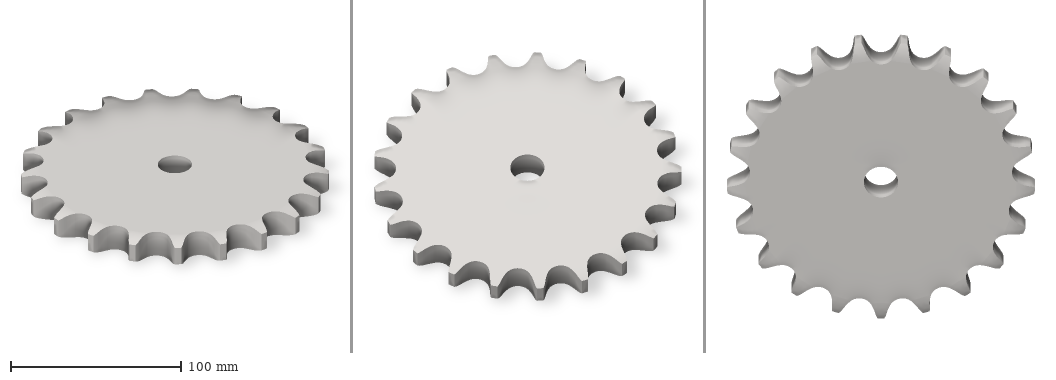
import cadquery as cq
import math

tooth_count = 21
overall_width = 181.0
pitch_diameter = 170.5
roller_diameter = 16.0
thickness = 16.3
bore_diameter = 20.0

tip_half_angle = 1.25

relief_diameter = 158.9
relief_depth = 2.5

half_thickness = thickness / 2
relief_radius = relief_diameter / 2
tooth_angle = 360 / tooth_count

outer_radius = overall_width / 2 / math.cos(math.radians(tooth_angle / 4 - tip_half_angle))

SEAT_RATIO = 1.005
WORKING_CENTER_RATIO = 0.8
TOPPING_CENTER_RATIO = 1.4
seat_clearance = 0.07
seat_radius = (SEAT_RATIO * roller_diameter + seat_clearance) / 2
working_center_distance = WORKING_CENTER_RATIO * roller_diameter
topping_center_distance = TOPPING_CENTER_RATIO * roller_diameter
working_radius = working_center_distance + seat_radius
seat_end_angle = 35 + 60 / tooth_count
working_sweep = 18 - 56 / tooth_count
flank_angle = seat_end_angle - working_sweep

cut_overrun = 0.9


def step(point, distance, angle):
    """Point at a distance from another, along an angle in degrees from the first axis."""
    turn = math.radians(angle)
    return point[0] + distance * math.cos(turn), point[1] + distance * math.sin(turn)


def mirrored(point):
    return -point[0], point[1]


def topping_end_direction(center, radius):
    """Angle about the topping centre at which the topping curve passes out of the wheel."""
    end_radius = outer_radius + cut_overrun
    distance = math.hypot(*center)
    to_axis = math.degrees(math.atan2(center[1], center[0])) + 180
    cosine = (distance**2 + radius**2 - end_radius**2) / (2 * distance * radius)
    return to_axis - math.degrees(math.acos(cosine))


def tooth_gap():
    """Gap centred on +Y: a round seat, then a working curve, a flat and a topping curve on each side."""
    roller_center = (0, pitch_diameter / 2)
    seat_bottom = step(roller_center, seat_radius, -90)
    seat_end = step(roller_center, seat_radius, -seat_end_angle)

    working_center = step(roller_center, working_center_distance, 180 - seat_end_angle)
    working_middle = step(working_center, working_radius, working_sweep / 2 - seat_end_angle)
    working_end = step(working_center, working_radius, -flank_angle)

    topping_center = step(roller_center, topping_center_distance, -tooth_angle / 2)
    normal = step((0, 0), 1, -flank_angle)
    topping_radius = sum((topping_center[axis] - working_end[axis]) * normal[axis] for axis in range(2))
    topping_start_angle = 180 - flank_angle
    topping_end_angle = topping_end_direction(topping_center, topping_radius)
    flat_end = step(topping_center, topping_radius, topping_start_angle)
    topping_middle = step(topping_center, topping_radius, (topping_start_angle + topping_end_angle) / 2)
    topping_end = step(topping_center, topping_radius, topping_end_angle)

    return (
        cq.Workplane("XY", origin=(0, 0, -half_thickness))
        .moveTo(*topping_end)
        .threePointArc(topping_middle, flat_end)
        .lineTo(*working_end)
        .threePointArc(working_middle, seat_end)
        .threePointArc(seat_bottom, mirrored(seat_end))
        .threePointArc(mirrored(working_middle), mirrored(working_end))
        .lineTo(*mirrored(flat_end))
        .threePointArc(mirrored(topping_middle), mirrored(topping_end))
        .close()
        .extrude(thickness)
    )


def blank():
    """Disc centred on the origin, its rim rounded down on both faces by arcs tangent to the faces."""
    relief_width = outer_radius - relief_radius
    arc_radius = (relief_width**2 + relief_depth**2) / (2 * relief_depth)
    half_sweep = math.degrees(math.asin(relief_width / arc_radius)) / 2
    arc_center = (relief_radius, half_thickness - arc_radius)
    arc_x, arc_z = step(arc_center, arc_radius, 90 - half_sweep)
    rim_height = half_thickness - relief_depth
    return (
        cq.Workplane("XZ")
        .moveTo(0, -half_thickness)
        .lineTo(relief_radius, -half_thickness)
        .threePointArc((arc_x, -arc_z), (outer_radius, -rim_height))
        .lineTo(outer_radius, rim_height)
        .threePointArc((arc_x, arc_z), (relief_radius, half_thickness))
        .lineTo(0, half_thickness)
        .close()
        .revolve(360, (0, 0), (0, 1))
    )


def bore():
    return cq.Workplane("XY").circle(bore_diameter / 2).extrude(thickness, both=True)


result = blank().cut(bore())
gap = tooth_gap()
for index in range(tooth_count):
    result = result.cut(gap.rotate((0, 0, 0), (0, 0, 1), index * tooth_angle))